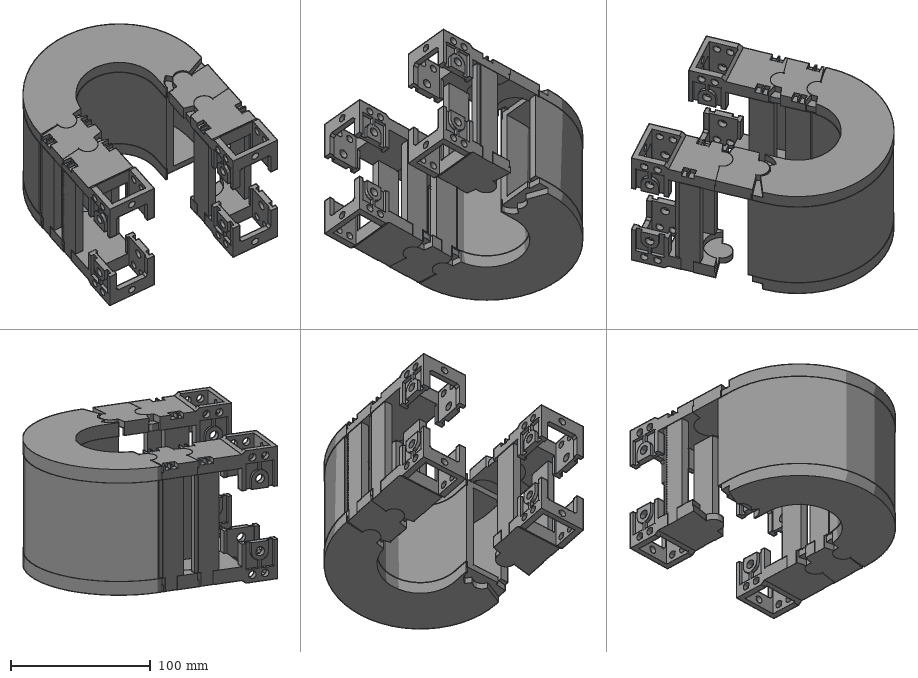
import cadquery as cq
import math

OVERALL_LENGTH = 171
OVERALL_WIDTH = 138.0
OVERALL_HEIGHT = 100.4
OUTER_RADIUS = OVERALL_WIDTH / 2
INNER_RADIUS = 31.0
PLATE_TOP = 47.7
PLATE_BOTTOM = 37.3
PLATE_MID = (PLATE_TOP + PLATE_BOTTOM) / 2
BAR_RECESS = 0.3
BAR_THICKNESS = 6.3

PITCH = 27.9
JOINT_Y = 46.0
FRONT_JOINT_X = 1.2
REAR_JOINT_X = 13.2
KNUCKLE_RADIUS = 7.5
SHOULDER_X = 0.5
SHOULDER_EDGE_X = 3.0
KNUCKLE_NECK_X = -3.0
KNUCKLE_NECK_EDGE_X = -5.0
SOCKET_LIP_X = 2.0
SOCKET_LIP_EDGE_X = 4.0
LAP_SHIFT = 1.0
LAP_RADIUS = 13.9
OUT_EDGE = JOINT_Y - OUTER_RADIUS
IN_EDGE = JOINT_Y - INNER_RADIUS
FAR = 102.6
MARGIN = 1.7

BAR_START = 0
BAR_END = 19.0
STEP_END = 2.9
STEP_DEPTH = 0.9
GROOVE_START = 4.6
GROOVE_END = 14.0
POCKETS = ((4.8, 4.0), (10.0, 4.5))
POCKET_WIDTH = 5.6
POCKET_DEPTH = 3.5

FRONT_BRACKET_X = 65.7
REAR_BRACKET_X = 73.9
BRACKET_LENGTH = OVERALL_LENGTH - OUTER_RADIUS - REAR_BRACKET_X
BRACKET_TOP = OVERALL_HEIGHT / 2
BRACKET_BOTTOM = 20.2
CHAMFER_LENGTH = 3.2
WINDOW_START = 2.4
SIDE_WALL = 4.8
END_WALL = 4.0
FLANGE_WIDTH = 6.3
NOTCH_TOP = 38.0
NOTCH_MARGIN = 1.0
NOTCH_CHAMFER = 1.7
PANEL_DEPTH = 2.5
PANEL_START = 3.5
PANEL_END = 25.1
PANEL_TOP = 40.2
RIB_WIDTH = 2.0
BOSS_X = 14.4
BOSS_Z = 27.5
BOSS_RADIUS = 6.7
BOSS_HOLE = 6.7
SMALL_HOLE = 5.6
SMALL_HOLE_XS = (8.4, 18.5)
SMALL_HOLE_Z = 44.5

BEND_FRONT_TILT = -3
BEND_FRONT_WALL_END = 0.3
BEND_REAR_END = 13.7
BEND_POCKET_WALL = ((8.5, 0), (6.2, 4.6))
BEND_POCKET_RIM = ((10.1, 8.0), (6.7, 11.8))
BEND_SHOULDER_X = 3.8
BEND_SHOULDER_EDGE_X = 11.0


def box(x0, x1, y0, y1, z0, z1):
    return cq.Workplane("XY").box(x1 - x0, y1 - y0, z1 - z0, centered=False).translate((x0, y0, z0))


def disc(radius, z0, z1):
    return cq.Workplane("XY").workplane(offset=z0).circle(radius).extrude(z1 - z0)


def mirrored_pair(upper):
    """The upper shape together with its mirror image below the XY plane."""
    return upper.union(upper.mirror("XY"))


def beyond_knuckle():
    """Space to the +x side of a plate that ends in a knuckle."""
    outline = (
        cq.Workplane("XY").workplane(offset=PLATE_BOTTOM)
        .moveTo(SHOULDER_EDGE_X, OUT_EDGE - MARGIN)
        .lineTo(SHOULDER_EDGE_X, OUT_EDGE)
        .lineTo(SHOULDER_X, -KNUCKLE_RADIUS)
        .lineTo(0, -KNUCKLE_RADIUS)
        .threePointArc((KNUCKLE_RADIUS, 0), (0, KNUCKLE_RADIUS))
        .lineTo(KNUCKLE_NECK_X, KNUCKLE_RADIUS)
        .lineTo(KNUCKLE_NECK_EDGE_X, IN_EDGE)
        .lineTo(KNUCKLE_NECK_EDGE_X, IN_EDGE + MARGIN)
        .lineTo(FAR, IN_EDGE + MARGIN)
        .lineTo(FAR, OUT_EDGE - MARGIN)
        .close()
    )
    return outline.extrude(PLATE_TOP - PLATE_BOTTOM)


def beyond_socket():
    """Space to the -x side of a plate whose end is hollowed for a knuckle."""
    lip_y = math.sqrt(KNUCKLE_RADIUS**2 - SOCKET_LIP_X**2)
    outline = (
        cq.Workplane("XY").workplane(offset=PLATE_BOTTOM)
        .moveTo(SHOULDER_EDGE_X, OUT_EDGE - MARGIN)
        .lineTo(SHOULDER_EDGE_X, OUT_EDGE)
        .lineTo(SHOULDER_X, -KNUCKLE_RADIUS)
        .lineTo(0, -KNUCKLE_RADIUS)
        .threePointArc((KNUCKLE_RADIUS, 0), (SOCKET_LIP_X, lip_y))
        .lineTo(SOCKET_LIP_EDGE_X, IN_EDGE)
        .lineTo(SOCKET_LIP_EDGE_X, IN_EDGE + MARGIN)
        .lineTo(-FAR, IN_EDGE + MARGIN)
        .lineTo(-FAR, OUT_EDGE - MARGIN)
        .close()
    )
    return outline.extrude(PLATE_TOP - PLATE_BOTTOM)


def lap(start_x, edge_x):
    """Half-thick tongue of a socket: a disc, and a strip that runs from (start_x, edge_x) to the shoulder."""
    strip = (
        cq.Workplane("XY").workplane(offset=PLATE_BOTTOM)
        .moveTo(start_x, -KNUCKLE_RADIUS)
        .lineTo(SHOULDER_X, -KNUCKLE_RADIUS)
        .lineTo(SHOULDER_EDGE_X, OUT_EDGE)
        .lineTo(edge_x, OUT_EDGE)
        .close().extrude(PLATE_MID - PLATE_BOTTOM)
    )
    return disc(LAP_RADIUS, PLATE_BOTTOM, PLATE_MID).union(strip)


def link_lap():
    return lap(SHOULDER_X - LAP_SHIFT, SHOULDER_EDGE_X - LAP_SHIFT)


def plate(start, end):
    return box(start, end, OUT_EDGE, IN_EDGE, PLATE_BOTTOM, PLATE_TOP)


def with_socket(body):
    return body.cut(beyond_socket()).union(link_lap())


def with_knuckle(body):
    return body.cut(beyond_knuckle().union(link_lap()).translate((PITCH, 0, 0)))


def add_bars(body):
    """Two bars that join the plates, with a step on the outer one."""
    outer_face = OUT_EDGE + BAR_RECESS
    inner_face = IN_EDGE - BAR_RECESS
    outer_bar = box(BAR_START, BAR_END, outer_face, outer_face + BAR_THICKNESS, -PLATE_BOTTOM, PLATE_BOTTOM)
    step = box(BAR_START, STEP_END, outer_face, outer_face + STEP_DEPTH, -PLATE_BOTTOM, PLATE_BOTTOM)
    inner_bar = box(BAR_START, BAR_END, inner_face - BAR_THICKNESS, inner_face, -PLATE_BOTTOM, PLATE_BOTTOM)
    return body.union(outer_bar.cut(step)).union(inner_bar)


def cut_snaps(body):
    """Snap pockets in the top plate and shallow grooves in the edges of the bottom plate."""
    for start, length in POCKETS:
        for y in (OUT_EDGE, IN_EDGE - POCKET_WIDTH):
            body = body.cut(
                box(start, start + length, y, y + POCKET_WIDTH, PLATE_TOP - POCKET_DEPTH, PLATE_TOP)
            )
    for y in (OUT_EDGE, IN_EDGE - BAR_RECESS):
        body = body.cut(box(GROOVE_START, GROOVE_END, y, y + BAR_RECESS, -PLATE_TOP, -PLATE_BOTTOM))
    return body


def bracket_frame():
    frame = box(0, BRACKET_LENGTH, OUT_EDGE, IN_EDGE, BRACKET_BOTTOM, BRACKET_TOP)
    window_end = BRACKET_LENGTH - END_WALL
    wall_out = OUT_EDGE + SIDE_WALL
    wall_in = IN_EDGE - SIDE_WALL
    frame = frame.cut(box(WINDOW_START, window_end, wall_out, wall_in, BRACKET_BOTTOM, BRACKET_TOP))
    frame = frame.cut(
        box(0, WINDOW_START, OUT_EDGE + FLANGE_WIDTH, IN_EDGE - FLANGE_WIDTH, BRACKET_BOTTOM, PLATE_BOTTOM)
    )
    chamfer = (
        cq.Workplane("XZ").polyline([(0, PLATE_TOP), (0, BRACKET_TOP), (CHAMFER_LENGTH, BRACKET_TOP)])
        .close().extrude(FAR, both=True)
    )
    notch = box(window_end, BRACKET_LENGTH, wall_out + NOTCH_MARGIN, wall_in - NOTCH_MARGIN,
                BRACKET_BOTTOM, NOTCH_TOP).edges("|X and >Z").chamfer(NOTCH_CHAMFER)
    return frame.cut(chamfer).cut(notch)


def side_panel(y):
    """Recess in a side wall that leaves a round-topped boss and a rib above it."""
    boss_bottom = box(BOSS_X - BOSS_RADIUS, BOSS_X + BOSS_RADIUS, y, y + PANEL_DEPTH, BRACKET_BOTTOM, BOSS_Z)
    boss_top = (
        cq.Workplane("XZ", origin=(0, y, 0)).center(BOSS_X, BOSS_Z).circle(BOSS_RADIUS).extrude(-PANEL_DEPTH)
    )
    rib = box(BOSS_X - RIB_WIDTH / 2, BOSS_X + RIB_WIDTH / 2, y, y + PANEL_DEPTH, BOSS_Z, PANEL_TOP)
    panel = box(PANEL_START, PANEL_END, y, y + PANEL_DEPTH, BRACKET_BOTTOM, PANEL_TOP)
    return panel.cut(boss_bottom).cut(boss_top).cut(rib)


def bracket_holes():
    side_holes = (
        cq.Workplane("XZ").pushPoints([(x, SMALL_HOLE_Z) for x in SMALL_HOLE_XS])
        .circle(SMALL_HOLE / 2).extrude(FAR, both=True)
    )
    boss_hole = cq.Workplane("XZ").center(BOSS_X, BOSS_Z).circle(BOSS_HOLE / 2).extrude(FAR, both=True)
    end_hole = (
        cq.Workplane("YZ", origin=(BRACKET_LENGTH - END_WALL, 0, 0))
        .center((OUT_EDGE + IN_EDGE) / 2, SMALL_HOLE_Z).circle(SMALL_HOLE / 2).extrude(END_WALL)
    )
    return side_holes.union(boss_hole).union(end_hole)


def bracket():
    body = bracket_frame()
    for y in (OUT_EDGE, IN_EDGE - PANEL_DEPTH):
        body = body.cut(side_panel(y))
    return body.cut(bracket_holes())


def on_front_arm(body, joint_x):
    """Put the local origin on a joint of the -Y arm."""
    return body.translate((joint_x, -JOINT_Y, 0))


def on_rear_arm(body, joint_x):
    """Turn the body half way round and put its origin on a joint of the +Y arm."""
    return body.rotate((0, 0, 0), (0, 0, 1), 180).translate((joint_x, JOINT_Y, 0))


def make_front_link():
    plates = mirrored_pair(with_knuckle(with_socket(plate(0, PITCH + KNUCKLE_RADIUS))))
    return on_front_arm(cut_snaps(add_bars(plates)), FRONT_JOINT_X)


def make_front_end():
    joint_x = FRONT_JOINT_X + PITCH
    length = FRONT_BRACKET_X - joint_x
    side = with_socket(plate(0, length)).union(bracket().translate((length, 0, 0)))
    return on_front_arm(cut_snaps(add_bars(mirrored_pair(side))), joint_x)


def make_rear_link():
    """Top plate only, without bars or snap pockets."""
    return on_rear_arm(with_knuckle(with_socket(plate(0, PITCH + KNUCKLE_RADIUS))), REAR_JOINT_X + PITCH)


def make_rear_end():
    joint_x = REAR_JOINT_X + 2 * PITCH
    start = joint_x - REAR_BRACKET_X
    side = with_knuckle(plate(start, PITCH + KNUCKLE_RADIUS))
    side = side.union(bracket().mirror("YZ").translate((start, 0, 0)))
    return on_rear_arm(cut_snaps(add_bars(mirrored_pair(side))), joint_x)


def horseshoe(outer, inner, front_end, rear_end, z0, z1):
    """Half ring with a straight arm on each side."""
    return (
        cq.Workplane("XY").workplane(offset=z0)
        .moveTo(front_end, -outer)
        .lineTo(0, -outer)
        .threePointArc((-outer, 0), (0, outer))
        .lineTo(rear_end, outer)
        .lineTo(rear_end, inner)
        .lineTo(0, inner)
        .threePointArc((-inner, 0), (0, -inner))
        .lineTo(front_end, -inner)
        .close().extrude(z1 - z0)
    )


def bend_rear_pocket():
    """Wide clearance at the bend's socket, joint centre at the origin and the bend on the +x side."""
    outline = (
        cq.Workplane("XY").workplane(offset=PLATE_BOTTOM)
        .moveTo(BEND_SHOULDER_EDGE_X, OUT_EDGE)
        .lineTo(BEND_SHOULDER_X, -KNUCKLE_RADIUS)
        .threePointArc(*BEND_POCKET_WALL)
        .lineTo(*BEND_POCKET_RIM[0])
        .threePointArc(BEND_POCKET_RIM[1], (0, LAP_RADIUS))
        .lineTo(-FAR, LAP_RADIUS)
        .lineTo(-FAR, OUT_EDGE)
        .close()
    )
    floor = lap(BEND_SHOULDER_X, BEND_SHOULDER_EDGE_X)
    return outline.extrude(PLATE_TOP - PLATE_BOTTOM).cut(floor)


def make_bend():
    front_reach = FRONT_JOINT_X + KNUCKLE_RADIUS
    plates = horseshoe(OUTER_RADIUS, INNER_RADIUS, front_reach, BEND_REAR_END, PLATE_BOTTOM, PLATE_TOP)
    front_trim = beyond_knuckle().rotate((0, 0, 0), (0, 0, 1), BEND_FRONT_TILT).union(link_lap())
    plates = plates.cut(on_front_arm(front_trim, FRONT_JOINT_X))
    plates = plates.cut(on_rear_arm(bend_rear_pocket(), REAR_JOINT_X))

    outer_face = OUTER_RADIUS - BAR_RECESS
    inner_face = INNER_RADIUS + BAR_RECESS
    wall_ends = (BEND_FRONT_WALL_END, BEND_REAR_END, -PLATE_BOTTOM, PLATE_BOTTOM)
    outer_wall = horseshoe(outer_face, outer_face - BAR_THICKNESS, *wall_ends)
    inner_wall = horseshoe(inner_face + BAR_THICKNESS, inner_face, *wall_ends)
    return mirrored_pair(plates).union(outer_wall).union(inner_wall)


bend = make_bend()
front_link = make_front_link()
front_end = make_front_end()
rear_link = make_rear_link()
rear_end = make_rear_end()

result = cq.Compound.makeCompound(
    [bend.val(), front_link.val(), front_end.val(), rear_link.val(), rear_end.val()]
)